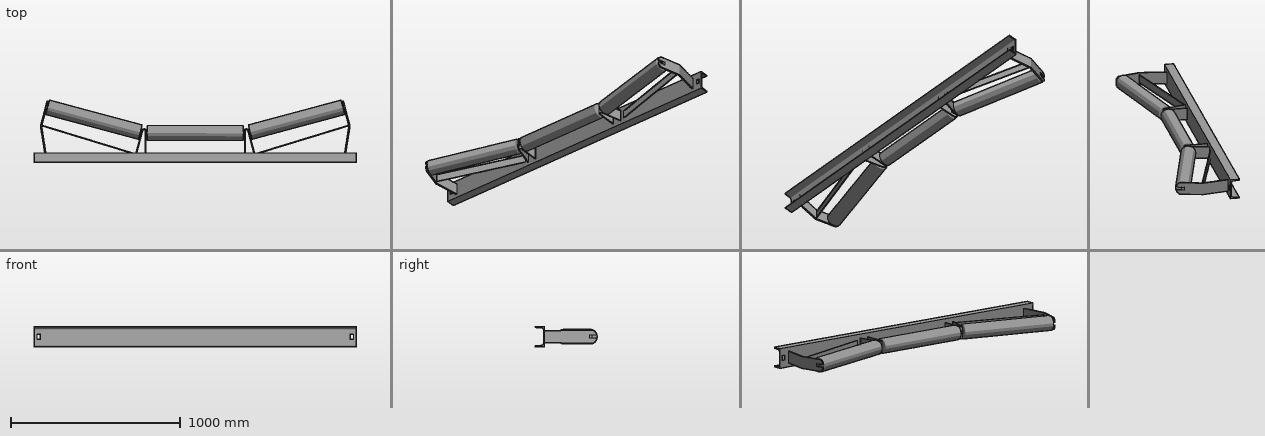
import cadquery as cq
import math

total_length = 1900.0
total_height = 366.33
trough_angle = 15.0

beam_depth = 120.0
flange_width = 55.0
web_thickness = 7.0
flange_thickness = 9.0
flange_taper = 0.08
root_radius = 9.0
toe_radius = 4.5
beam_slot_width = 17.0
beam_slot_height = 28.0
beam_slot_inset = 27.0

roller_length = 566.0
roller_diameter = 89.0
roller_edge_radius = 3.0
axle_size = 17.0
centre_axis_height = 117.5
side_centre_x = 597.0

strip_width = 72.0
inner_thickness = 6.0
inner_gap = 6.0
inner_bend_radius = 7.0
outer_thickness = 9.0
outer_gap = 4.0
outer_rise = 36.0
outer_drop = 116.0
outer_bend_radius = 4.0
foot_lean = 9.0
tip_chamfer = 15.0

gusset_width = 50.0
gusset_thickness = 5.0
gusset_angle = 17.0
gusset_lift = 6.0

pick = 1.0

slope = math.radians(trough_angle)
half_roller = roller_length / 2
side_centre_y = (
    total_height - flange_width
    - (half_roller - roller_edge_radius) * math.sin(slope)
    - (roller_diameter / 2 - roller_edge_radius) * math.cos(slope)
    - roller_edge_radius
)


def side_point(along, across):
    """XY place of a point given along and across the axis of the left side roller."""
    x = -side_centre_x + along * math.cos(slope) + across * math.sin(slope)
    y = side_centre_y - along * math.sin(slope) + across * math.cos(slope)
    return x, y


def place_on_side(body):
    """Move a body modelled about the X axis onto the axis of the left side roller."""
    turned = body.rotate((0, 0, 0), (0, 0, 1), -trough_angle)
    return turned.translate((-side_centre_x, side_centre_y, 0))


def mirrored(body):
    return body.mirror("YZ")


def foot_x(point, lean):
    """X where a line through a point, leaning by an angle from upright, meets the beam."""
    return point[0] - point[1] * math.tan(lean)


def strip(outline, width):
    """Flat bar of the given width along Z over an XY outline, centred on Z = 0."""
    return cq.Workplane("XY", origin=(0, 0, -width / 2)).polyline(outline).close().extrude(width)


def edge_near(point):
    """Selector for the upright edge that passes through an XY point."""
    x, y = point
    reach = strip_width
    return cq.selectors.BoxSelector((x - pick, y - pick, -reach), (x + pick, y + pick, reach))


def axle_slot(start, length):
    """Cutter for a slot that holds a square axle on the X axis and is open upward."""
    corner = (start, -axle_size / 2, -axle_size / 2)
    opening = cq.Workplane("XY").box(length, roller_diameter, axle_size, centered=False)
    return opening.translate(corner)



def make_beam():
    half_depth = beam_depth / 2
    root_z = half_depth - flange_thickness - flange_taper * (flange_width / 2 - web_thickness)
    toe_z = half_depth - flange_thickness + flange_taper * flange_width / 2
    profile = [
        (0, -half_depth),
        (-flange_width, -half_depth),
        (-flange_width, -toe_z),
        (-web_thickness, -root_z),
        (-web_thickness, root_z),
        (-flange_width, toe_z),
        (-flange_width, half_depth),
        (0, half_depth),
    ]
    beam = (
        cq.Workplane("YZ", origin=(-total_length / 2, 0, 0))
        .polyline(profile).close()
        .extrude(total_length)
    )
    for y, z, radius in [(-web_thickness, root_z, root_radius), (-flange_width, toe_z, toe_radius)]:
        corners = cq.selectors.BoxSelector(
            (-total_length, y - pick, -z - pick), (total_length, y + pick, z + pick)
        )
        beam = beam.edges("|X").edges(corners).fillet(radius)
    slot_x = total_length / 2 - beam_slot_inset
    slots = (
        cq.Workplane("XZ")
        .pushPoints([(-slot_x, 0), (slot_x, 0)])
        .rect(beam_slot_width, beam_slot_height)
        .extrude(web_thickness)
    )
    return beam.cut(slots)



inner_reach = inner_gap + inner_thickness
outer_reach = outer_gap + outer_thickness


def make_roller(left_reach, right_reach):
    """Roller about the X axis whose axle reaches beyond its ends by the given lengths."""
    shell = (
        cq.Workplane("YZ", origin=(-half_roller, 0, 0))
        .circle(roller_diameter / 2)
        .extrude(roller_length)
        .faces("<X or >X").edges().fillet(roller_edge_radius)
    )
    axle = (
        cq.Workplane("YZ", origin=(-half_roller - left_reach, 0, 0))
        .rect(axle_size, axle_size)
        .extrude(left_reach + roller_length + right_reach)
    )
    return shell.union(axle)



def fold(gap, radius):
    """Solid wedge between two leg faces, each a gap away from its roller end, rounded on top."""
    upright_x = -half_roller - gap
    slanted_foot_x = foot_x(side_point(half_roller + gap, 0), slope)
    apex = (upright_x, (upright_x - slanted_foot_x) / math.tan(slope))
    wedge = strip([(slanted_foot_x, 0), (upright_x, 0), apex], strip_width)
    return wedge.edges(edge_near(apex)).fillet(radius)


def make_inner_bracket():
    outside = fold(inner_gap, inner_bend_radius + inner_thickness)
    inside = fold(inner_reach, inner_bend_radius)
    slot_length = inner_reach + inner_bend_radius
    upright_slot = axle_slot(-half_roller - slot_length, slot_length)
    slanted_slot = axle_slot(half_roller, slot_length)
    bracket = outside.cut(inside)
    bracket = bracket.cut(upright_slot.translate((0, centre_axis_height, 0)))
    return bracket.cut(place_on_side(slanted_slot))



def make_outer_bracket():
    inner_face = -half_roller - outer_gap
    outer_face = -half_roller - outer_reach
    lean = -math.radians(foot_lean)
    half_bend = (slope - lean) / 2
    outer_corner_drop = outer_drop + outer_thickness * math.tan(half_bend)
    inner_kink = side_point(inner_face, -outer_drop)
    outer_kink = side_point(outer_face, -outer_corner_drop)
    bracket = strip([
        side_point(inner_face, outer_rise),
        inner_kink,
        (foot_x(inner_kink, lean), 0),
        (foot_x(outer_kink, lean), 0),
        outer_kink,
        side_point(outer_face, outer_rise),
    ], strip_width)
    bracket = bracket.edges(edge_near(inner_kink)).fillet(outer_bend_radius)
    bracket = bracket.edges(edge_near(outer_kink)).fillet(outer_bend_radius + outer_thickness)
    tip = side_point((inner_face + outer_face) / 2, outer_rise)
    tip_corners = cq.selectors.BoxSelector(
        (tip[0] - outer_thickness, tip[1] - outer_thickness, -strip_width),
        (tip[0] + outer_thickness, tip[1] + outer_thickness, strip_width),
    )
    bracket = bracket.edges("not |Z").edges(tip_corners).chamfer(tip_chamfer)
    return bracket.cut(place_on_side(axle_slot(outer_face, outer_thickness)))



def make_gusset():
    fall = math.radians(gusset_angle)
    top = -outer_drop + gusset_lift
    bottom = top - gusset_thickness / math.cos(fall - slope)
    start = -half_roller - outer_gap
    upper_corner = side_point(start, top)
    lower_corner = side_point(start, bottom)
    outline = [
        upper_corner,
        lower_corner,
        (foot_x(lower_corner, fall - math.pi / 2), 0),
        (foot_x(upper_corner, fall - math.pi / 2), 0),
    ]
    return strip(outline, gusset_width)


beam = make_beam()
centre_roller = make_roller(inner_reach, inner_reach).translate((0, centre_axis_height, 0))
left_bodies = [
    place_on_side(make_roller(outer_reach, inner_reach)),
    make_inner_bracket(),
    make_outer_bracket(),
    make_gusset(),
]
right_bodies = [mirrored(body) for body in left_bodies]

result = cq.Compound.makeCompound(
    [body.val() for body in [beam, centre_roller, *left_bodies, *right_bodies]]
)